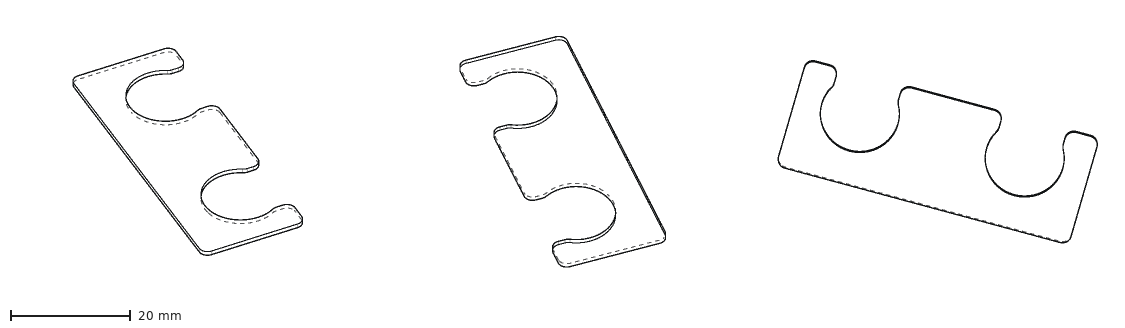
import cadquery as cq

length = 50.8
width = 19.05
thickness = 0.8
corner_radius = 1.5

pocket_radius = 6.6
pocket_spacing = 28.6
pocket_depth = 6.7
mouth_width = 11.1

back_y = width / 2
pocket_y = back_y - pocket_depth
pocket_centers = [(-pocket_spacing / 2, pocket_y), (pocket_spacing / 2, pocket_y)]


def mouth_cutter(center):
    """Straight-sided opening from a pocket centre to the back edge."""
    x, y = center
    return (
        cq.Workplane("XY")
        .center(x, y + pocket_depth / 2)
        .rect(mouth_width, pocket_depth)
        .extrude(thickness)
    )


plate = cq.Workplane("XY").rect(length, width).extrude(thickness)
pockets = cq.Workplane("XY").pushPoints(pocket_centers).circle(pocket_radius).extrude(thickness)
plate = plate.cut(pockets)
for pocket_center in pocket_centers:
    plate = plate.cut(mouth_cutter(pocket_center))

result = plate.edges("|Z").fillet(corner_radius)